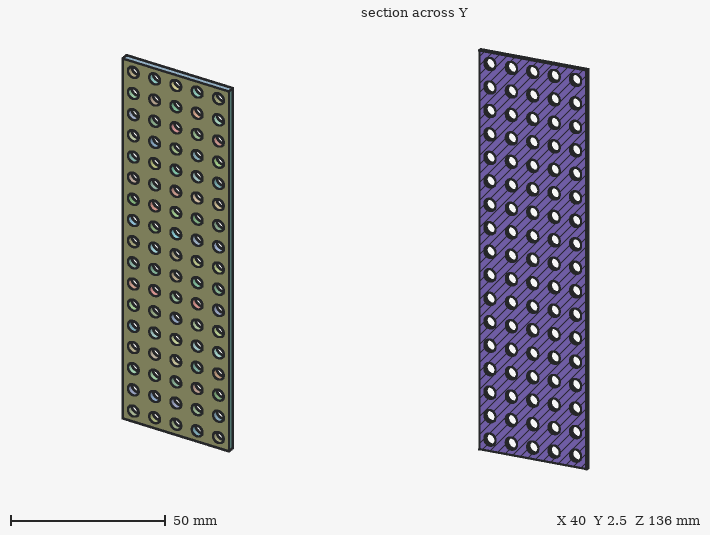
import cadquery as cq

pitch = 8.0
columns = 5
rows = 17
thickness = 2.5
hole_diameter = 4.0

width = columns * pitch
height = rows * pitch


def make_plate():
    return cq.Workplane("XY").box(width, thickness, height)


def drill_hole_grid(plate):
    """Drill a centred grid of through holes, half a pitch in from each edge."""
    return (
        plate.faces("<Y")
        .workplane(centerOption="CenterOfBoundBox")
        .rarray(pitch, pitch, columns, rows)
        .hole(hole_diameter)
    )


result = drill_hole_grid(make_plate())